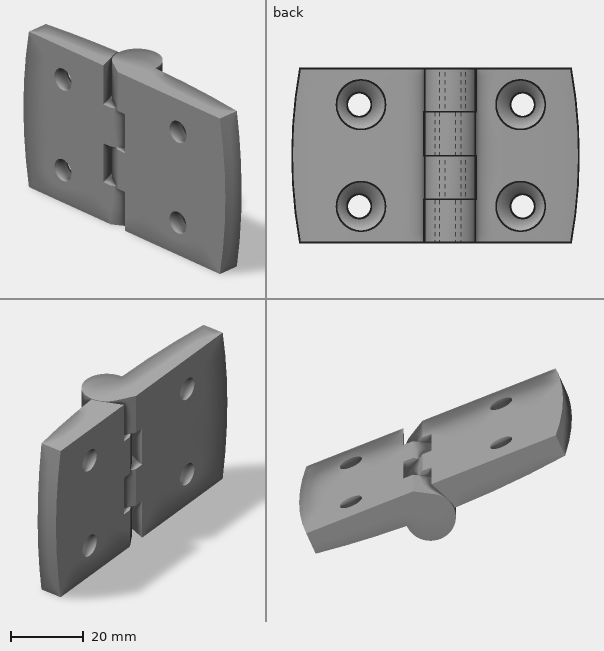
import cadquery as cq
import math

height = 48.0
axis_to_face = 9.0
pin_diameter = 6.0
knuckle_radius = 7.0
knuckle_count = 4
knuckle_height = height / knuckle_count

left_end = -35.5
right_end = 43.5
leaf_span = right_end - left_end
middle_x = (left_end + right_end) / 2
end_bulge = 2.15
crown_radius = 288.0
crown_height = 0.03

knuckle_clearance = 0.25
relief_radius = knuckle_radius + knuckle_clearance

knuckle_foot = 1.4
relief_foot = 4.2

screw_diameter = 6.6
countersink_diameter = 13.6
countersink_angle = 90.0
countersink_overshoot = 3.0
hole_spacing_z = 28.0
left_hole_x = -20.0
right_hole_x = 25.0

bottom_z = -height / 2
top_z = height / 2


def slab(outline, bottom, top):
    """Extrude a closed XY outline between two Z levels."""
    return outline.extrude(top - bottom).translate((0, 0, bottom))


def tangent_point(foot_x, radius):
    """Where a line from (foot_x, -axis_to_face) touches the -X side of a circle about the pin axis."""
    foot_distance = math.hypot(foot_x, axis_to_face)
    angle = math.atan2(-axis_to_face, foot_x) - math.acos(radius / foot_distance)
    return radius * math.cos(angle), radius * math.sin(angle)


def crown_y(x):
    """Y of the crowned back surface at a given x."""
    drop = crown_radius - math.sqrt(crown_radius**2 - (x - middle_x) ** 2)
    return crown_height - drop


def make_envelope():
    """Outer shape shared by both leaves: crowned profile trimmed by the bowed end outline."""
    profile = (
        cq.Workplane("XY")
        .moveTo(left_end, -axis_to_face)
        .lineTo(right_end, -axis_to_face)
        .lineTo(right_end, crown_y(right_end))
        .threePointArc((middle_x, crown_height), (left_end, crown_y(left_end)))
        .close()
    )
    left_corner = left_end + end_bulge
    right_corner = right_end - end_bulge
    bowed_plate = (
        cq.Workplane("XZ")
        .moveTo(left_corner, bottom_z)
        .lineTo(right_corner, bottom_z)
        .threePointArc((right_end, 0), (right_corner, top_z))
        .lineTo(left_corner, top_z)
        .threePointArc((left_end, 0), (left_corner, bottom_z))
        .close()
        .extrude(axis_to_face + knuckle_radius, both=True)
    )
    return slab(profile, bottom_z, top_z).intersect(bowed_plate)


def knuckle_section(envelope, side, bottom):
    """Plate and barrel, joined by a flat tangent to the barrel; side is +1 for the right leaf, else -1."""
    touch_x, touch_y = tangent_point(knuckle_foot, knuckle_radius)
    top = bottom + knuckle_height
    plate_zone = (
        cq.Workplane("XY")
        .moveTo(0, 0)
        .lineTo(side * touch_x, touch_y)
        .lineTo(side * knuckle_foot, -axis_to_face)
        .lineTo(side * leaf_span, -axis_to_face)
        .lineTo(side * leaf_span, knuckle_radius)
        .lineTo(0, knuckle_radius)
        .close()
    )
    barrel = slab(cq.Workplane("XY").circle(knuckle_radius), bottom, top)
    return slab(plate_zone, bottom, top).intersect(envelope).union(barrel)


def relieved_section(envelope, side, bottom):
    """Plate cut back by an arc and a tangent flat to clear the other leaf's knuckle."""
    touch_x, touch_y = tangent_point(-relief_foot, relief_radius)
    plate_zone = (
        cq.Workplane("XY")
        .moveTo(side * relief_foot, -axis_to_face)
        .lineTo(-side * touch_x, touch_y)
        .radiusArc((side * relief_radius, 0), -side * relief_radius)
        .lineTo(side * relief_radius, knuckle_radius)
        .lineTo(side * leaf_span, knuckle_radius)
        .lineTo(side * leaf_span, -axis_to_face)
        .close()
    )
    return slab(plate_zone, bottom, bottom + knuckle_height).intersect(envelope)


def screw_hole(x, z):
    """Screw clearance hole with a countersink that opens on the crowned back."""
    toward_back = cq.Vector(0, 1, 0)
    screw_radius = screw_diameter / 2
    flare = math.tan(math.radians(countersink_angle / 2))
    sink_depth = (countersink_diameter / 2 - screw_radius) / flare
    cone_length = sink_depth + countersink_overshoot
    hole_start = cq.Vector(x, -axis_to_face, z)
    cone_start = cq.Vector(x, crown_y(x) - sink_depth, z)
    hole = cq.Solid.makeCylinder(screw_radius, axis_to_face, hole_start, toward_back)
    countersink = cq.Solid.makeCone(
        screw_radius, screw_radius + cone_length * flare, cone_length, cone_start, toward_back
    )
    return cq.Workplane(hole.fuse(countersink))


def make_leaf(envelope, side, hole_x, first_knuckle):
    """One leaf, with a knuckle on every second level counted up from first_knuckle."""
    leaf = cq.Workplane("XY")
    for level in range(knuckle_count):
        bottom = bottom_z + level * knuckle_height
        has_knuckle = level % 2 == first_knuckle
        make_section = knuckle_section if has_knuckle else relieved_section
        leaf = leaf.union(make_section(envelope, side, bottom))
    leaf = leaf.cut(make_pin())
    for hole_z in (-hole_spacing_z / 2, hole_spacing_z / 2):
        leaf = leaf.cut(screw_hole(hole_x, hole_z))
    return leaf.solids()


def make_pin():
    """Hinge pin, flush with both ends of the barrel and filling its bore."""
    return slab(cq.Workplane("XY").circle(pin_diameter / 2), bottom_z, top_z)


leaf_envelope = make_envelope()
left_leaf = make_leaf(leaf_envelope, -1, left_hole_x, 0)
right_leaf = make_leaf(leaf_envelope, 1, right_hole_x, 1)
pin = make_pin()

result = cq.Compound.makeCompound([left_leaf.val(), right_leaf.val(), pin.val()])